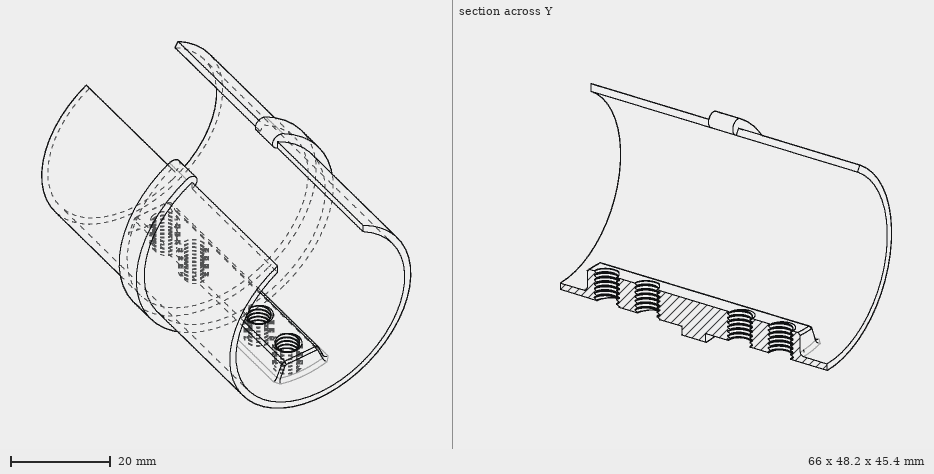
import cadquery as cq
import math

length = 66.0
inner_radius = 20.65
tube_radius = 22.2
ring_diameter = 48.25
ring_radius = ring_diameter / 2
ring_width = 6.0
opening_half_angle = math.radians(30.4)
ring_tip_half_angle = math.radians(29.3)

pad_length = 52.8
pad_top_z = -15.65
pad_top_half_width = 4.3
pad_side_slope = math.radians(22)
pad_chamfer = 0.5
pad_base_fillet = 0.8
seam_reach = 7.9
seam_margin = 0.65
pad_embed = 0.1

hole_offsets = (11.5, 21.5)
bore_radius = 2.45
thread_radius = 3.05
thread_pitch = 1.0
thread_turns = 9
thread_overrun = 0.75
thread_start_angle = 90
thread_root_width = 0.1
thread_mouth_width = 0.85
thread_overlap = 0.05


def tube(outer_radius, width, start_x):
    return (
        cq.Workplane("YZ", origin=(start_x, 0, 0))
        .circle(outer_radius)
        .circle(inner_radius)
        .extrude(width)
    )


def radial_opening(half_angle, width, start_x):
    """Wedge from the clip axis that cuts radial lips."""
    reach = 2 * ring_radius
    half_width = reach * math.tan(half_angle)
    return (
        cq.Workplane("YZ", origin=(start_x, 0, 0))
        .polyline([(0, 0), (half_width, reach), (-half_width, reach)])
        .close()
        .extrude(width)
    )


def make_shell():
    half = length / 2
    left = tube(tube_radius, half, -half).cut(radial_opening(opening_half_angle, half, -half))

    gap_width = 2 * inner_radius * math.sin(opening_half_angle)
    upright_opening = cq.Workplane("XY").box(half, gap_width, tube_radius, centered=(False, True, False))
    right = tube(tube_radius, half, 0).cut(upright_opening)
    return left.union(right)


def make_ring():
    start_x = -ring_width / 2
    ring = tube(ring_radius, ring_width, start_x)
    ring = ring.cut(radial_opening(ring_tip_half_angle, ring_width, start_x))
    middle_radius = (ring_radius + inner_radius) / 2
    tip_y = middle_radius * math.sin(ring_tip_half_angle)
    tip_z = middle_radius * math.cos(ring_tip_half_angle)
    tips = (
        cq.Workplane("YZ", origin=(start_x, 0, 0))
        .pushPoints([(-tip_y, tip_z), (tip_y, tip_z)])
        .circle((ring_radius - inner_radius) / 2)
        .extrude(ring_width)
    )
    return ring.union(tips)


def make_pad():
    bottom_z = -inner_radius - pad_embed
    bottom_half_width = pad_top_half_width + (pad_top_z - bottom_z) * math.tan(pad_side_slope)
    pad = (
        cq.Workplane("YZ", origin=(-pad_length / 2, 0, 0))
        .polyline([
            (-pad_top_half_width, pad_top_z),
            (pad_top_half_width, pad_top_z),
            (bottom_half_width, bottom_z),
            (-bottom_half_width, bottom_z),
        ])
        .close()
        .extrude(pad_length)
    )
    return pad.faces("not <Z").edges("not <Z").chamfer(pad_chamfer)


def add_pad(body):
    """Join the pad to the tube and round the seam between them."""
    body = body.union(make_pad())
    seam_top_z = -math.sqrt(inner_radius**2 - seam_reach**2)
    seam_box = cq.selectors.BoxSelector(
        (-pad_length / 2 - seam_margin, -seam_reach, -inner_radius - pad_base_fillet / 2),
        (pad_length / 2 + seam_margin, seam_reach, seam_top_z),
    )
    return body.edges(seam_box).fillet(pad_base_fillet)


def cut_threaded_hole(body, x, start_angle):
    """Cut a helical V thread through the pad and tube, then drill out its core."""
    bottom_z = pad_top_z - (thread_turns - thread_overrun) * thread_pitch
    height = thread_turns * thread_pitch
    bore = cq.Workplane("XY", origin=(x, 0, bottom_z)).circle(bore_radius).extrude(height)
    helix = cq.Wire.makeHelix(thread_pitch, height, bore_radius)
    thread = (
        cq.Workplane("XZ")
        .polyline([
            (bore_radius - thread_overlap, -thread_mouth_width / 2),
            (thread_radius, -thread_root_width / 2),
            (thread_radius, thread_root_width / 2),
            (bore_radius - thread_overlap, thread_mouth_width / 2),
        ])
        .close()
        .sweep(cq.Workplane(helix), isFrenet=True)
        .rotate((0, 0, 0), (0, 0, 1), start_angle)
        .translate((x, 0, bottom_z))
    )
    return body.cut(thread).cut(bore)


result = add_pad(make_shell().union(make_ring()))
for offset in hole_offsets:
    result = cut_threaded_hole(result, -offset, thread_start_angle)
    result = cut_threaded_hole(result, offset, thread_start_angle + 180)